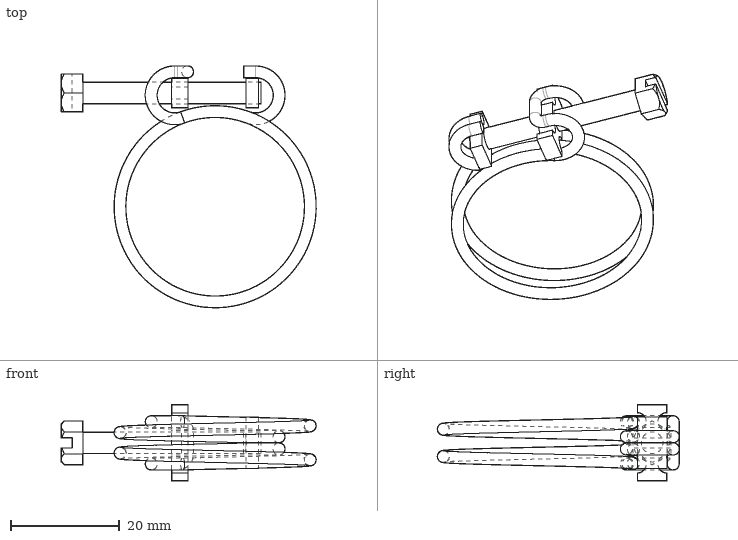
import math

import cadquery as cq


overall_length = 46.85

wire_diameter = 2.2
ring_radius = 17.48
hook_radius = 4.3
hook_top_y = 24.8
left_hook_z = 3.9
right_hook_z = 1.12
crossbar_x = -5.05
crossbar_bend_radius = 1.87
right_hook_end_x = 5.25

hook_y = hook_top_y - hook_radius
hook_x = math.sqrt((ring_radius + hook_radius) ** 2 - hook_y**2)
joint_angle = math.degrees(math.atan2(hook_y, hook_x))
joint_x = ring_radius * math.cos(math.radians(joint_angle))
joint_y = ring_radius * math.sin(math.radians(joint_angle))
coil_sweep = 360 + 2 * (90 - joint_angle)

plate_width = 5.45
hook_clearance = 0.07
bracket_left_x = -8.0
bracket_thickness = 3.05
bracket_height = 14.0
bracket_groove_radius = 1.65
nut_left_x = 5.6
nut_thickness = 2.35
nut_height = 9.5

screw_y = hook_top_y - wire_diameter / 2 - hook_clearance - plate_width / 2
shank_diameter = 4.0
head_left_x = ring_radius + wire_diameter / 2 - overall_length
head_thickness = 4.0
head_across_flats = 7.0
head_chamfer_length = 0.55
slot_width = 1.85
slot_depth = 2.0
screw_end_x = 8.45


def shank_cylinder(start_x, end_x):
    """Cylinder of the screw's shank diameter on the screw axis."""
    return (
        cq.Workplane("YZ", origin=(start_x, screw_y, 0))
        .circle(shank_diameter / 2)
        .extrude(end_x - start_x)
    )


def make_screw():
    """Hexagon screw along X, with flats facing +Y and -Y and a slot across the head."""
    head_plane = cq.Plane(origin=(head_left_x, screw_y, 0), xDir=(0, 0, 1), normal=(1, 0, 0))
    corner_radius = head_across_flats / math.sqrt(3)
    head = cq.Workplane(head_plane).polygon(6, 2 * corner_radius).extrude(head_thickness)

    envelope = (
        cq.Workplane("XY", origin=(head_left_x, screw_y, 0))
        .moveTo(0, 0)
        .lineTo(0, head_across_flats / 2)
        .lineTo(head_chamfer_length, corner_radius)
        .lineTo(head_thickness, corner_radius)
        .lineTo(head_thickness, 0)
        .close()
        .revolve(360, (0, 0, 0), (1, 0, 0))
    )
    slot = cq.Workplane(head_plane).rect(slot_width, 2 * corner_radius).extrude(slot_depth)
    shank = shank_cylinder(head_left_x + head_thickness, screw_end_x)
    return head.intersect(envelope).cut(slot).union(shank)


def drilled_plate(left_x, thickness, height):
    """Upright plate across the screw axis, with a hole that fits the shank."""
    plate = cq.Workplane("YZ", origin=(left_x, screw_y, 0)).rect(plate_width, height).extrude(thickness)
    return plate.cut(shank_cylinder(left_x, left_x + thickness))


def make_bracket():
    """Plate whose two sides are waisted by round grooves level with the left hooks."""
    groove_centres = [
        (side * plate_width / 2, level * left_hook_z) for side in (-1, 1) for level in (-1, 1)
    ]
    grooves = (
        cq.Workplane("YZ", origin=(bracket_left_x, screw_y, 0))
        .pushPoints(groove_centres)
        .circle(bracket_groove_radius)
        .extrude(bracket_thickness)
    )
    return drilled_plate(bracket_left_x, bracket_thickness, bracket_height).cut(grooves)


def make_nut():
    """Plain plate held by the right hooks."""
    return drilled_plate(nut_left_x, nut_thickness, nut_height)


def sweep_wire(path, start, direction):
    """Sweep the round wire section along a path that begins at start."""
    section = cq.Workplane(cq.Plane(origin=start, normal=direction)).circle(wire_diameter / 2)
    return section.sweep(cq.Workplane(path), isFrenet=True)


def hook_arc(side, z):
    """Arc from the joint with the coil, around the outside, to the top of a hook; side is -1 or 1."""
    return cq.Edge.makeThreePointArc(
        cq.Vector(side * joint_x, joint_y, z),
        cq.Vector(side * (hook_x + hook_radius), hook_y, z),
        cq.Vector(side * hook_x, hook_top_y, z),
    )


def make_left_hook():
    """Upper and lower left hooks, joined by a crossbar along Z over the bracket."""
    bend_x = crossbar_x - crossbar_bend_radius
    bend_z = left_hook_z - crossbar_bend_radius
    bend_middle = crossbar_bend_radius * math.sqrt(0.5)

    def point(x, z):
        return cq.Vector(x, hook_top_y, z)

    def bend(level):
        return cq.Edge.makeThreePointArc(
            point(bend_x, level * left_hook_z),
            point(bend_x + bend_middle, level * (bend_z + bend_middle)),
            point(crossbar_x, level * bend_z),
        )

    def straight(level):
        return cq.Edge.makeLine(
            point(-hook_x, level * left_hook_z),
            point(bend_x, level * left_hook_z),
        )

    crossbar = cq.Edge.makeLine(point(crossbar_x, bend_z), point(crossbar_x, -bend_z))
    path = cq.Wire.assembleEdges(
        [
            hook_arc(-1, left_hook_z),
            straight(1),
            bend(1),
            crossbar,
            bend(-1),
            straight(-1),
            hook_arc(-1, -left_hook_z),
        ]
    )
    return sweep_wire(path, (-joint_x, joint_y, left_hook_z), (-joint_y, -joint_x, 0))


def make_coil(level):
    """Coil with its right hook, above (level 1) or below (level -1) the plane Z = 0.

    The upper coil climbs anticlockwise from its right hook to the upper left hook.
    The lower coil is its mirror image.
    """
    climb = left_hook_z - right_hook_z
    helix = cq.Wire.makeHelix(climb * 360 / coil_sweep, climb, ring_radius)
    coil = (
        sweep_wire(helix, (ring_radius, 0, 0), (0, 1, 0))
        .rotate((0, 0, 0), (0, 0, 1), joint_angle)
        .translate((0, 0, right_hook_z))
    )
    end = cq.Edge.makeLine(
        cq.Vector(hook_x, hook_top_y, right_hook_z),
        cq.Vector(right_hook_end_x, hook_top_y, right_hook_z),
    )
    hook_path = cq.Wire.assembleEdges([hook_arc(1, right_hook_z), end])
    hook = sweep_wire(hook_path, (joint_x, joint_y, right_hook_z), (joint_y, -joint_x, 0))
    upper_coil = coil.union(hook)
    return upper_coil if level > 0 else upper_coil.mirror("XY")


screw = make_screw()
bracket = make_bracket()
nut = make_nut()
left_hook = make_left_hook()
coils = [make_coil(level) for level in (1, -1)]

result = cq.Compound.makeCompound(
    [
        screw.val(),
        bracket.val(),
        nut.val(),
        left_hook.val(),
        *[coil.val() for coil in coils],
    ]
)